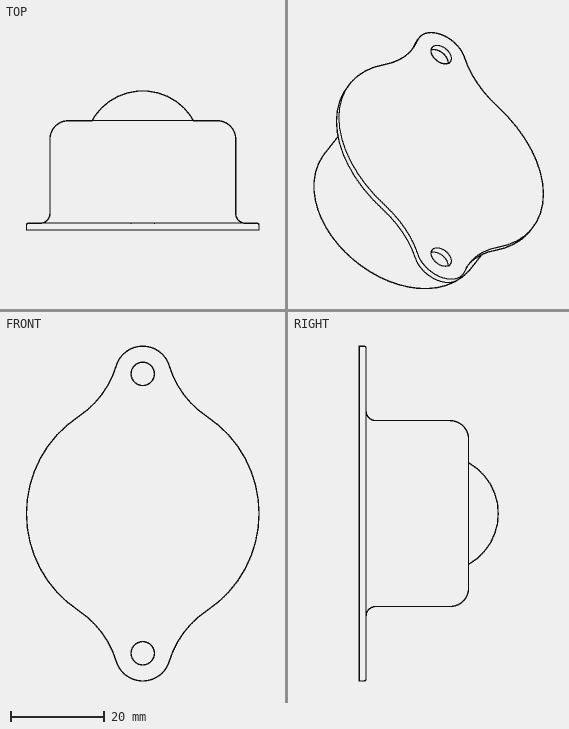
import cadquery as cq
import math

overall_length = 71.95
flange_radius = 25.005
flange_thickness = 1.5
flange_edge_round = 0.5
ear_offset = 30.0
ear_radius = overall_length / 2 - ear_offset
ear_blend_radius = 20.0
bolt_hole_diameter = 5.0

cup_radius = 40.0 / 2
cup_top = 23.5
cup_top_round = 4.0
cup_foot_round = 2.0

overall_height = 29.9
ball_radius = 12.5
ball_center_y = overall_height - ball_radius


def flange_outline():
    """Disc and ear arcs joined by concave arcs that are tangent to both."""
    disc_to_blend = flange_radius + ear_blend_radius
    ear_to_blend = ear_radius + ear_blend_radius
    blend_z = (disc_to_blend**2 + ear_offset**2 - ear_to_blend**2) / (2 * ear_offset)
    blend_x = math.sqrt(disc_to_blend**2 - blend_z**2)

    disc_x = blend_x * flange_radius / disc_to_blend
    disc_z = blend_z * flange_radius / disc_to_blend
    ear_x = blend_x * ear_radius / ear_to_blend
    ear_z = ear_offset + (blend_z - ear_offset) * ear_radius / ear_to_blend

    chord_dx = (disc_x + ear_x) / 2 - blend_x
    chord_dz = (disc_z + ear_z) / 2 - blend_z
    chord_distance = math.hypot(chord_dx, chord_dz)
    blend_mid_x = blend_x + chord_dx * ear_blend_radius / chord_distance
    blend_mid_z = blend_z + chord_dz * ear_blend_radius / chord_distance

    return (
        cq.Workplane("XZ")
        .moveTo(disc_x, -disc_z)
        .threePointArc((flange_radius, 0), (disc_x, disc_z))
        .threePointArc((blend_mid_x, blend_mid_z), (ear_x, ear_z))
        .threePointArc((0, overall_length / 2), (-ear_x, ear_z))
        .threePointArc((-blend_mid_x, blend_mid_z), (-disc_x, disc_z))
        .threePointArc((-flange_radius, 0), (-disc_x, -disc_z))
        .threePointArc((-blend_mid_x, -blend_mid_z), (-ear_x, -ear_z))
        .threePointArc((0, -overall_length / 2), (ear_x, -ear_z))
        .threePointArc((blend_mid_x, -blend_mid_z), (disc_x, -disc_z))
        .close()
    )


def make_flange():
    flange = flange_outline().extrude(-flange_thickness)
    flange = flange.faces(">Y").edges().fillet(flange_edge_round)
    bolt_holes = (
        cq.Workplane("XZ")
        .pushPoints([(0, ear_offset), (0, -ear_offset)])
        .circle(bolt_hole_diameter / 2)
        .extrude(-flange_thickness)
    )
    return flange.cut(bolt_holes)


def make_cup():
    """Revolved cup with a rounded top rim and a concave flare at its foot."""
    corner = math.sqrt(0.5)
    foot_x = cup_radius + cup_foot_round
    foot_y = flange_thickness + cup_foot_round
    rim_x = cup_radius - cup_top_round
    rim_y = cup_top - cup_top_round
    return (
        cq.Workplane("XY")
        .lineTo(foot_x, 0)
        .lineTo(foot_x, flange_thickness)
        .threePointArc(
            (foot_x - corner * cup_foot_round, foot_y - corner * cup_foot_round),
            (cup_radius, foot_y),
        )
        .lineTo(cup_radius, rim_y)
        .threePointArc(
            (rim_x + corner * cup_top_round, rim_y + corner * cup_top_round),
            (rim_x, cup_top),
        )
        .lineTo(0, cup_top)
        .close()
        .revolve(360, (0, 0, 0), (0, 1, 0))
    )


def make_ball():
    return cq.Workplane("XY").sphere(ball_radius).translate((0, ball_center_y, 0))


def make_housing():
    """Flange and cup as one solid, with a spherical socket that holds the ball."""
    return make_flange().union(make_cup()).cut(make_ball())


housing = make_housing()
ball = make_ball()

result = cq.Compound.makeCompound([housing.val(), ball.val()])